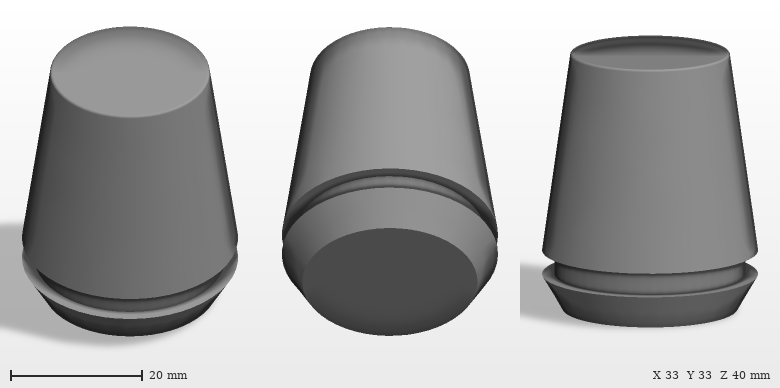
import cadquery as cq
import math

max_radius = 16.5
total_height = 40.0

lower_cone_height = 5.4
lower_cone_angle = 30.0

groove_radius = 14.6
groove_width = 3.7

upper_cone_angle = 8.0
top_fillet = 0.4

groove_top = lower_cone_height + groove_width
upper_cone_height = total_height - groove_top
bottom_radius = max_radius - lower_cone_height * math.tan(math.radians(lower_cone_angle))
top_radius = max_radius - upper_cone_height * math.tan(math.radians(upper_cone_angle))


def make_body():
    """Half profile in the XZ plane, revolved about the Z axis."""
    profile = [
        (0, 0),
        (bottom_radius, 0),
        (max_radius, lower_cone_height),
        (groove_radius, lower_cone_height),
        (groove_radius, groove_top),
        (max_radius, groove_top),
        (top_radius, total_height),
        (0, total_height),
    ]
    return cq.Workplane("XZ").polyline(profile).close().revolve(360, (0, 0, 0), (0, 1, 0))


def break_top_edge(body):
    """Round the rim of the flat top face."""
    return body.faces(">Z").edges().fillet(top_fillet)


result = break_top_edge(make_body())